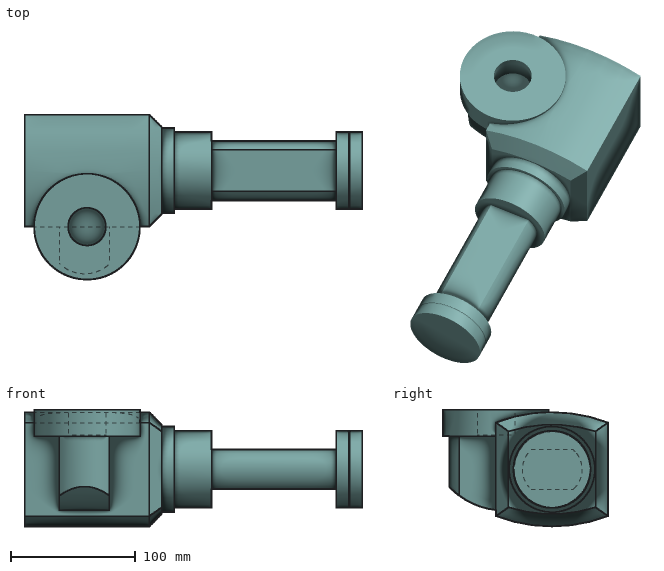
import cadquery as cq


body_length = 100.0
body_width = 90.0
body_side_height = 75.0
body_crown_height = 92.0
body_chamfer = 10.0
front_face_y = -body_width / 2

neck_start = body_length + body_chamfer
collar_length = 10.0
collar_diameter = 68.8
barrel_length = 30.0
barrel_diameter = 62.0

shaft_start = neck_start + collar_length + barrel_length
shaft_height = 32.0
shaft_flat_width = 33.3
shaft_width = 48.0

overall_length = 271
flange_diameter = barrel_diameter
flange_groove_width = 1.0
flange_groove_depth = 0.5
flange_disc_length = 10.0
flange_length = 2 * flange_disc_length + flange_groove_width
flange_start = overall_length - flange_length

overall_height = 93.8
pad_x = body_length / 2
pad_diameter = 85.0
pad_thickness = 21.1
pad_hole_diameter = 30.4
pad_hole_depth = 20.0
pad_top = overall_height - body_crown_height / 2
pad_bottom = pad_top - pad_thickness

bracket_x = 48.0
bracket_width = 40.0
bracket_side_reach = 29.5
bracket_reach = 37.7
bracket_root_z = -32.8
bracket_side_z = -21.1
bracket_tip_z = -13.8


def disc_on_axis(start, length, diameter):
    """Cylinder along the main axis."""
    return cq.Workplane("YZ", origin=(start, 0, 0)).circle(diameter / 2).extrude(length)


def make_body():
    """Block with crowned top and bottom, chamfered all round its neck end."""
    half_width = body_width / 2
    side_z = body_side_height / 2
    crown_z = body_crown_height / 2
    return (
        cq.Workplane("YZ")
        .moveTo(-half_width, -side_z)
        .threePointArc((0, -crown_z), (half_width, -side_z))
        .lineTo(half_width, side_z)
        .threePointArc((0, crown_z), (-half_width, side_z))
        .close()
        .extrude(neck_start)
        .faces(">X")
        .chamfer(body_chamfer)
    )


def make_neck():
    """Collar followed by a narrower barrel."""
    collar = disc_on_axis(neck_start, collar_length, collar_diameter)
    barrel = disc_on_axis(neck_start + collar_length, barrel_length, barrel_diameter)
    return collar.union(barrel)


def make_shaft():
    """Bar with flat top and bottom and arc-shaped sides."""
    half_flat = shaft_flat_width / 2
    half_width = shaft_width / 2
    half_height = shaft_height / 2
    return (
        cq.Workplane("YZ", origin=(shaft_start, 0, 0))
        .moveTo(-half_flat, -half_height)
        .lineTo(half_flat, -half_height)
        .threePointArc((half_width, 0), (half_flat, half_height))
        .lineTo(-half_flat, half_height)
        .threePointArc((-half_width, 0), (-half_flat, -half_height))
        .close()
        .extrude(flange_start - shaft_start)
    )


def make_flange():
    """Two equal discs joined by a slightly smaller core."""
    core = disc_on_axis(flange_start, flange_length, flange_diameter - 2 * flange_groove_depth)
    second_start = flange_start + flange_disc_length + flange_groove_width
    for start in (flange_start, second_start):
        core = core.union(disc_on_axis(start, flange_disc_length, flange_diameter))
    return core


def make_bracket():
    """Round-nosed upright whose underside sweeps up in an arc."""
    half_width = bracket_width / 2
    side_y = front_face_y - bracket_side_reach
    tip_y = front_face_y - bracket_reach
    plan = (
        cq.Workplane("XY", origin=(bracket_x, 0, bracket_root_z))
        .moveTo(-half_width, front_face_y)
        .lineTo(-half_width, side_y)
        .threePointArc((0, tip_y), (half_width, side_y))
        .lineTo(half_width, front_face_y)
        .close()
        .extrude(pad_bottom - bracket_root_z)
    )
    profile = (
        cq.Workplane("YZ", origin=(bracket_x, 0, 0))
        .moveTo(front_face_y, bracket_root_z)
        .threePointArc((side_y, bracket_side_z), (tip_y, bracket_tip_z))
        .lineTo(tip_y, pad_bottom)
        .lineTo(front_face_y, pad_bottom)
        .close()
        .extrude(half_width, both=True)
    )
    return plan.intersect(profile)


def make_pad_cylinder(diameter, depth):
    """Upright cylinder on the pad centre, reaching down from the top of the pad."""
    return (
        cq.Workplane("XY", origin=(pad_x, front_face_y, pad_top))
        .circle(diameter / 2)
        .extrude(-depth)
    )


result = (
    make_body()
    .union(make_neck())
    .union(make_shaft())
    .union(make_flange())
    .union(make_bracket())
    .union(make_pad_cylinder(pad_diameter, pad_thickness))
    .cut(make_pad_cylinder(pad_hole_diameter, pad_hole_depth))
)